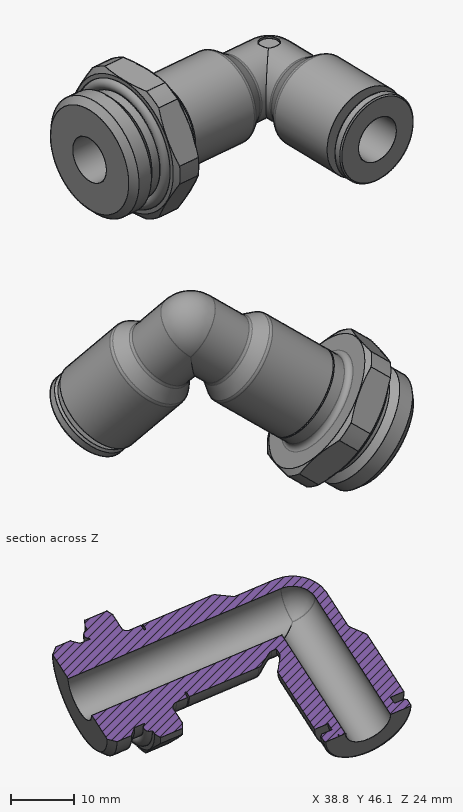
import cadquery as cq
import math


overall_width = 38.8
overall_length = 46.05

elbow_radius = 6.12
bore_radius = 4.0
sleeve_radius = 8.0
cone_length = 2.7
cone_blend = 0.9
stem_cone_at = 7.25
arm_cone_at = 7.4

gap_at = 22.65
gap_width = 0.25
gap_radius = 6.95
flare_radius = 0.95

hex_at = 25.93
hex_thickness = 4.97
hex_across_flats = 24.0
hex_corner_radius = 13.0
hex_chamfer_radial = 1.05
hex_chamfer_axial = 0.5

ring_outer_radius = 11.2
ring_section_radius = 0.95
ring_end_at = 31.9
thread_radius = 10.5
thread_chamfer = 1.15
thread_at = 33.1
stem_end_at = overall_length - sleeve_radius

arm_sleeve_end_at = 22.85
collar_neck_radius = 5.6
collar_radius = 7.8
collar_at = 24.1
collar_back_chamfer = 0.35
collar_front_chamfer = 0.25
arm_end_at = overall_width - hex_corner_radius

clearance = 0.45

recess_radius = 1.8
recess_depth = 0.6

hex_end_at = hex_at + hex_thickness
thread_neck_radius = thread_radius - thread_chamfer


def turned(points):
    """Revolve a closed (radius, distance) outline around +Y."""
    return cq.Workplane("XY").polyline(points).close().revolve(360, (0, 0), (0, 1))


def rod(radius, start, end):
    """Plain cylinder around +Y between two distances."""
    return turned([(0, start), (radius, start), (radius, end), (0, end)])


def on_stem(shape):
    """Turn a +Y branch onto the stem, along -Y."""
    return shape.rotate((0, 0, 0), (0, 0, 1), 180)


def on_arm(shape):
    """Turn a +Y branch onto the arm, along +X."""
    return shape.rotate((0, 0, 0), (0, 0, 1), -90)


def sleeve(cone_at, end_at):
    """Elbow tube that widens through a blended cone to the sleeve."""
    cone_end_at = cone_at + cone_length
    body = turned([
        (0, 0),
        (elbow_radius, 0),
        (elbow_radius, cone_at),
        (sleeve_radius, cone_end_at),
        (sleeve_radius, end_at),
        (0, end_at),
    ])
    cone_edges = cq.selectors.BoxSelector(
        (-sleeve_radius, cone_at - clearance, -sleeve_radius),
        (sleeve_radius, cone_end_at + clearance, sleeve_radius),
    )
    return body.edges("%CIRCLE").edges(cone_edges).fillet(cone_blend)


def swivel_gap():
    """Narrow ring cut around the stem sleeve."""
    gap_end_at = gap_at + gap_width
    outer = rod(sleeve_radius + clearance, gap_at, gap_end_at)
    return outer.cut(rod(gap_radius, gap_at, gap_end_at))


def flare():
    """Concave foot where the stem sleeve meets the hexagon."""
    start = hex_at - flare_radius
    mid_rise = flare_radius * math.sin(math.radians(45))
    return (
        cq.Workplane("XY")
        .moveTo(0, start)
        .lineTo(sleeve_radius, start)
        .threePointArc(
            (sleeve_radius + flare_radius - mid_rise, start + mid_rise),
            (sleeve_radius + flare_radius, hex_at),
        )
        .lineTo(0, hex_at)
        .close()
        .revolve(360, (0, 0), (0, 1))
    )


def hexagon():
    """Hexagon with flats facing +Z and -Z, rounded corners and chamfered ends."""
    prism = (
        cq.Workplane("XZ", origin=(0, hex_end_at, 0))
        .polygon(6, hex_across_flats, circumscribed=True)
        .extrude(hex_thickness)
        .rotate((0, 0, 0), (0, 1, 0), 30)
    )
    face_radius = hex_corner_radius - hex_chamfer_radial
    envelope = turned([
        (0, hex_at),
        (face_radius, hex_at),
        (hex_corner_radius, hex_at + hex_chamfer_axial),
        (hex_corner_radius, hex_end_at - hex_chamfer_axial),
        (face_radius, hex_end_at),
        (0, hex_end_at),
    ])
    return prism.intersect(envelope)


def sealing_ring():
    """Round-section ring partly sunk into the hexagon face."""
    section_centre = (ring_outer_radius - ring_section_radius, ring_end_at - ring_section_radius)
    return (
        cq.Workplane("XY")
        .pushPoints([section_centre])
        .circle(ring_section_radius)
        .revolve(360, (0, 0), (0, 1))
    )


def threaded_end():
    """Undercut neck and thread envelope with both ends chamfered."""
    return turned([
        (0, hex_end_at),
        (thread_neck_radius, hex_end_at),
        (thread_neck_radius, thread_at),
        (thread_radius, thread_at + thread_chamfer),
        (thread_radius, stem_end_at - thread_chamfer),
        (thread_neck_radius, stem_end_at),
        (0, stem_end_at),
    ])


def release_collar():
    """Neck and chamfered flange at the tube end of the arm."""
    return turned([
        (0, arm_sleeve_end_at),
        (collar_neck_radius, arm_sleeve_end_at),
        (collar_neck_radius, collar_at),
        (collar_radius - collar_back_chamfer, collar_at),
        (collar_radius, collar_at + collar_back_chamfer),
        (collar_radius, arm_end_at - collar_front_chamfer),
        (collar_radius - collar_front_chamfer, arm_end_at),
        (0, arm_end_at),
    ])


def elbow_ball(radius):
    """Ball that rounds the outside of the bend."""
    return cq.Workplane("XY").sphere(radius)


stem = (
    sleeve(stem_cone_at, hex_at)
    .cut(swivel_gap())
    .union(flare())
    .union(hexagon())
    .union(threaded_end())
    .union(sealing_ring())
)
arm = sleeve(arm_cone_at, arm_sleeve_end_at).union(release_collar())

bore = (
    elbow_ball(bore_radius)
    .union(on_stem(rod(bore_radius, 0, stem_end_at)))
    .union(on_arm(rod(bore_radius, 0, arm_end_at)))
)
marking_recess = (
    cq.Workplane("XY", origin=(0, 0, elbow_radius - recess_depth))
    .circle(recess_radius)
    .extrude(recess_depth + clearance)
)

result = (
    elbow_ball(elbow_radius)
    .union(on_stem(stem))
    .union(on_arm(arm))
    .cut(bore)
    .cut(marking_recess)
)